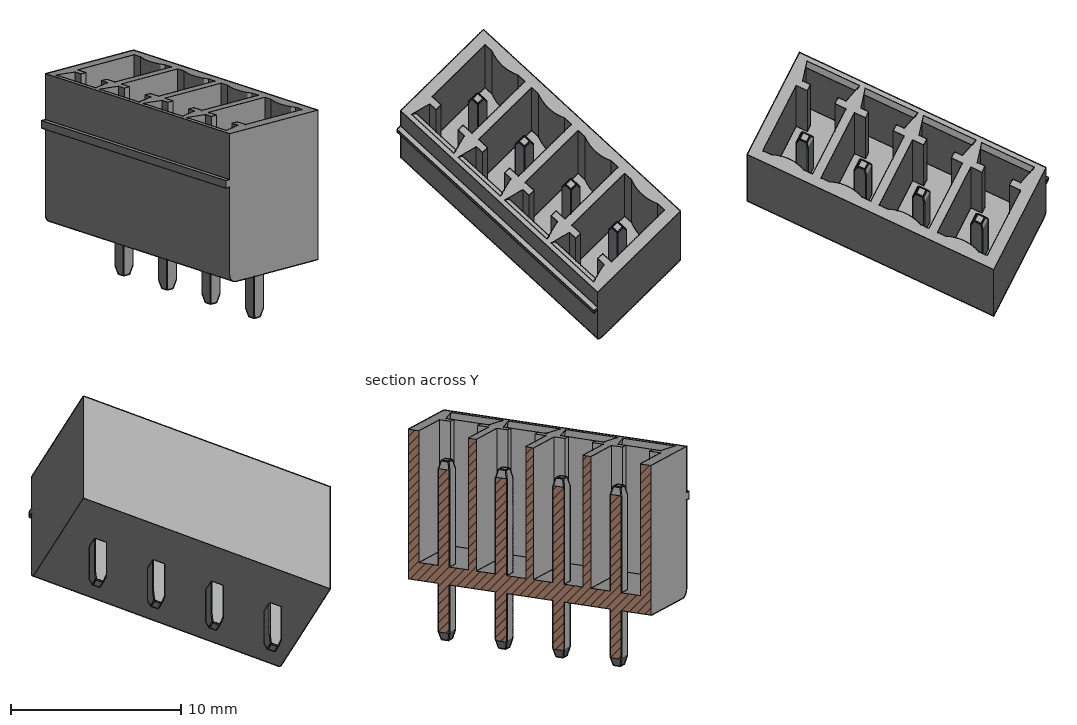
import cadquery as cq

length = 16.12
body_depth = 7.0
body_height = 9.19
bottom_edge_radius = 0.52

rib_projection = 0.3
rib_height = 0.47
rib_drop = 2.82

poles = 4
pitch = 3.8
pocket_depth = 8.06
pocket_width = 3.25
back_wall = 0.61
bulge_width = 2.13
bulge_rise = 0.23
key_back = 5.08
key_front = 5.5
key_gap = 1.8
tail_front = 6.7
tail_back_width = 2.84
tail_front_width = 3.45

lead_in_run = 0.3
lead_in_height = 0.3

pin_width = 0.8
pin_edge_chamfer = 0.05
pin_from_back = 2.9
pin_below = 3.47
pin_above = 7.55
tip_length = 0.58
tip_width = 0.52

pole_positions = [(i - (poles - 1) / 2) * pitch for i in range(poles)]
pocket_floor = body_height - pocket_depth


def make_housing():
    """Plain block with a rounded lower front edge and a rib along the front."""
    block = (
        cq.Workplane("XY")
        .box(length, body_depth, body_height, centered=(True, False, False))
        .translate((0, -body_depth, 0))
        .edges("<Y and <Z")
        .fillet(bottom_edge_radius)
    )
    rib = (
        cq.Workplane("XY")
        .box(length, 2 * rib_projection, rib_height, centered=(True, True, False))
        .translate((0, -body_depth, body_height - rib_drop - rib_height))
    )
    return block.union(rib)


def make_pocket():
    """Cavity of one pole, centred on X = 0: bulged back, two keys, flared front."""
    half = pocket_width / 2
    half_bulge = bulge_width / 2
    half_gap = key_gap / 2
    cavity = (
        cq.Workplane("XY", origin=(0, 0, pocket_floor))
        .moveTo(-half, -back_wall)
        .lineTo(-half_bulge, -back_wall)
        .threePointArc((0, -back_wall - bulge_rise), (half_bulge, -back_wall))
        .lineTo(half, -back_wall)
        .lineTo(half, -key_back)
        .lineTo(half_gap, -key_back)
        .lineTo(half_gap, -key_front)
        .lineTo(tail_back_width / 2, -key_front)
        .lineTo(tail_front_width / 2, -tail_front)
        .lineTo(-tail_front_width / 2, -tail_front)
        .lineTo(-tail_back_width / 2, -key_front)
        .lineTo(-half_gap, -key_front)
        .lineTo(-half_gap, -key_back)
        .lineTo(-half, -key_back)
        .close()
        .extrude(pocket_depth)
    )
    thickening = (
        cq.Workplane("YZ", origin=(-pocket_width, 0, 0))
        .moveTo(-tail_front, body_height)
        .lineTo(-tail_front + lead_in_run, body_height - lead_in_height)
        .lineTo(-tail_front + lead_in_run, pocket_floor)
        .lineTo(-tail_front, pocket_floor)
        .close()
        .extrude(2 * pocket_width)
    )
    return cavity.cut(thickening)


def make_tip(base_z, end_z):
    """Square taper from the full pin section out to the blunt end."""
    return (
        cq.Workplane("XY", origin=(0, 0, base_z))
        .rect(pin_width, pin_width)
        .workplane(offset=end_z - base_z)
        .rect(tip_width, tip_width)
        .loft()
    )


def make_pin():
    """Square pin on the Z axis, tapered at both ends, with its long and end edges broken."""
    lower_taper = tip_length - pin_below
    upper_taper = pin_above - tip_length
    pin = (
        cq.Workplane("XY", origin=(0, 0, lower_taper))
        .rect(pin_width, pin_width)
        .extrude(upper_taper - lower_taper)
        .union(make_tip(lower_taper, -pin_below))
        .union(make_tip(upper_taper, pin_above))
    )
    long_edges = pin.edges("not #Z")
    end_edges = pin.faces("<Z or >Z").edges()
    return long_edges.add(end_edges).chamfer(pin_edge_chamfer)


result = make_housing()
for x in pole_positions:
    result = result.cut(make_pocket().translate((x, 0, 0)))
for x in pole_positions:
    result = result.union(make_pin().translate((x, -pin_from_back, 0)))